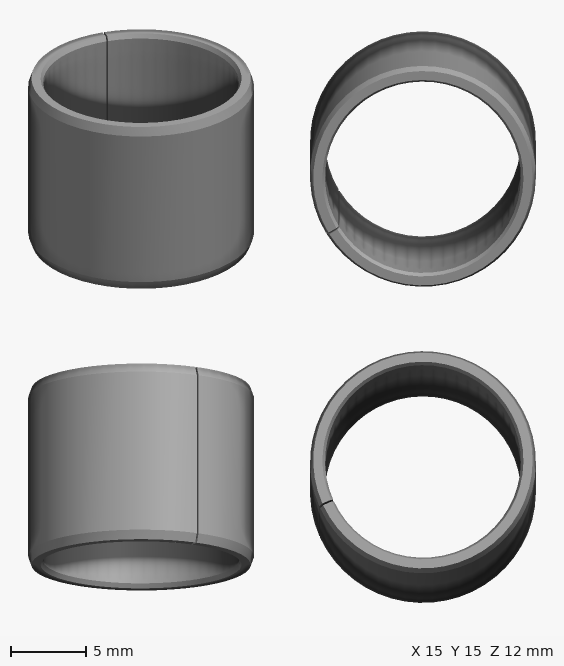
import cadquery as cq
import math

outer_diameter = 15.0
wall = 1.0
length = 12.0

outer_chamfer_length = 0.6
outer_chamfer_angle = 20.0
inner_chamfer_length = 0.3
inner_chamfer_angle = 30.0

slit_angle = 1.0

outer_radius = outer_diameter / 2
inner_radius = outer_radius - wall
half_length = length / 2
outer_chamfer_depth = outer_chamfer_length * math.tan(math.radians(outer_chamfer_angle))
inner_chamfer_depth = inner_chamfer_length * math.tan(math.radians(inner_chamfer_angle))


def split_bush():
    """Chamfered wall section swept about Z from the -X side, stopping short to leave the slit."""
    chamfer_start_z = half_length - outer_chamfer_length
    bore_chamfer_z = half_length - inner_chamfer_length
    end_outer_radius = outer_radius - outer_chamfer_depth
    end_inner_radius = inner_radius + inner_chamfer_depth
    section = [
        (inner_radius, -bore_chamfer_z),
        (end_inner_radius, -half_length),
        (end_outer_radius, -half_length),
        (outer_radius, -chamfer_start_z),
        (outer_radius, chamfer_start_z),
        (end_outer_radius, half_length),
        (end_inner_radius, half_length),
        (inner_radius, bore_chamfer_z),
    ]
    sweep = 360 - slit_angle
    ring = cq.Workplane("XZ").polyline(section).close().revolve(sweep, (0, 0), (0, 1))
    return ring.rotate((0, 0, 0), (0, 0, 1), 180)


result = split_bush()